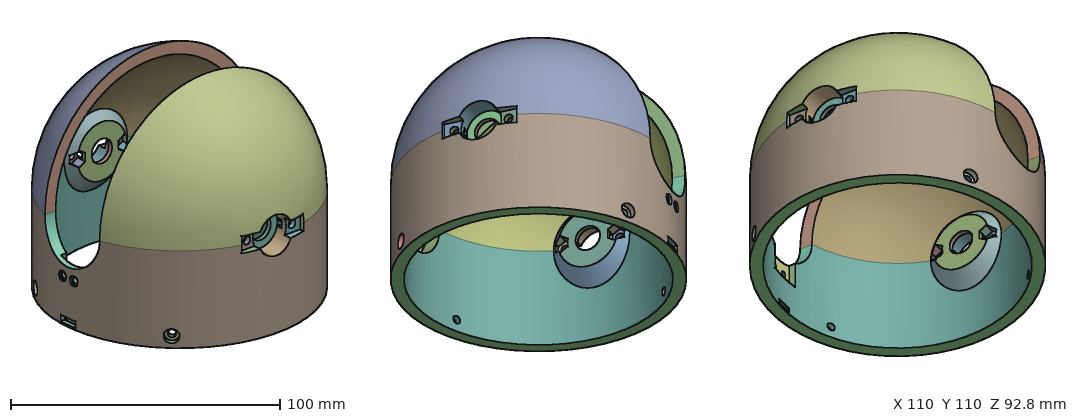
import cadquery as cq
import math

outer_radius = 55.0
inner_radius = 50.0
equator_height = 40.0

slot_width = 31.0

pivot_angles = (0.0, 180.0)
pad_diameter = 24.0
pad_face_distance = 44.0
pivot_bore_diameter = 10.0
flange_diameter = 16.4
flange_seat_distance = 46.0
ear_length = 30.4
ear_height = 7.0
ear_seat_distance = 51.0
ear_hole_diameter = 3.4
ear_hole_offset = 11.1
nut_width = 5.9
nut_pocket_depth = 4.5

screw_height = 5.0
screw_hole_diameter = 3.2
screw_head_diameter = 5.9
screw_head_depth = 2.5
screw_angles = (62.0, 136.0, 242.0, 316.0)

front_angle = -90.0

lamp_height = 19.8
lamp_spacing = 6.4
lamp_hole_diameter = 2.4
lamp_head_diameter = 4.2
lamp_seat_distance = 54.0

pocket_width = 14.0
pocket_back_distance = 52.2
pocket_floor_height = 15.0

socket_centre_height = 2.0
socket_width = 7.0
socket_height = 1.7
socket_recess_centre_height = 2.25
socket_recess_width = 8.2
socket_recess_height = 2.7
socket_seat_distance = 53.0

inner_overrun = 5.0

clear_distance = outer_radius + 5.0


def domed_solid(radius):
    """Cylinder from the base to the equator, topped by a half sphere."""
    diagonal = radius * math.sqrt(0.5)
    profile = (
        cq.Workplane("YZ")
        .lineTo(radius, 0)
        .lineTo(radius, equator_height)
        .threePointArc((diagonal, equator_height + diagonal), (0, equator_height + radius))
        .close()
    )
    return profile.revolve(360, (0, 0, 0), (0, 1, 0))


def radial_plane(angle, distance, height):
    """Workplane facing outwards; its local x is tangential and its local y points up."""
    turn = math.radians(angle)
    outward = (math.cos(turn), math.sin(turn), 0)
    tangent = (-math.sin(turn), math.cos(turn), 0)
    origin = (distance * outward[0], distance * outward[1], height)
    return cq.Workplane(cq.Plane(origin=origin, xDir=tangent, normal=outward))


def radial_rod(angle, diameter, start, end, height, sideways=0.0):
    """Cylinder along an outward direction, between two distances from the axis."""
    plane = radial_plane(angle, start, height).center(sideways, 0)
    return plane.transformed(rotate=(0, 0, 90)).circle(diameter / 2).extrude(end - start)


def radial_block(angle, width, tall, start, end, height):
    """Rectangular bar along an outward direction, between two distances from the axis."""
    return radial_plane(angle, start, height).rect(width, tall).extrude(end - start)


def nut_prism(angle, start, end, height, sideways):
    """Hexagonal bar along an outward direction, with two upright flats."""
    corner_diameter = nut_width / math.cos(math.radians(30))
    plane = radial_plane(angle, start, height).center(sideways, 0).transformed(rotate=(0, 0, 90))
    return plane.polygon(6, corner_diameter).extrude(end - start)


def slot_cutter():
    length = 2 * clear_distance
    upper = cq.Workplane("XY").box(slot_width, length, length, centered=(True, True, False))
    bottom = cq.Workplane("XZ").circle(slot_width / 2).extrude(clear_distance, both=True)
    return upper.union(bottom).translate((0, 0, equator_height))


def pivot_pad(angle):
    """Cone that widens at 45 degrees from the pad face out to the wall."""
    pad_length = clear_distance - pad_face_distance
    face_radius = pad_diameter / 2
    plane = radial_plane(angle, pad_face_distance, equator_height).transformed(rotate=(0, 0, 90))
    return plane.circle(face_radius).workplane(offset=pad_length).circle(face_radius + pad_length).loft()


def shell_cavity():
    """Inside space of the shell, with the conical pivot pads left standing on its wall."""
    cavity = domed_solid(inner_radius)
    for angle in pivot_angles:
        cavity = cavity.cut(pivot_pad(angle))
    return cavity


def cut_pivot_seat(body, angle):
    body = body.cut(
        radial_block(angle, ear_length, ear_height, ear_seat_distance, clear_distance, equator_height)
    )
    body = body.cut(
        radial_rod(angle, flange_diameter, flange_seat_distance, clear_distance, equator_height)
    )
    bore_start = pad_face_distance - inner_overrun
    body = body.cut(
        radial_rod(angle, pivot_bore_diameter, bore_start, clear_distance, equator_height)
    )
    nut_end = pad_face_distance + nut_pocket_depth
    for side in (-1, 1):
        offset = side * ear_hole_offset
        body = body.cut(
            radial_rod(angle, ear_hole_diameter, bore_start, clear_distance, equator_height, offset)
        )
        body = body.cut(nut_prism(angle, bore_start, nut_end, equator_height, offset))
    return body


def cut_screw_hole(body, angle):
    through_start = inner_radius - inner_overrun
    head_start = outer_radius - screw_head_depth
    body = body.cut(
        radial_rod(angle, screw_hole_diameter, through_start, clear_distance, screw_height)
    )
    return body.cut(radial_rod(angle, screw_head_diameter, head_start, clear_distance, screw_height))


def cut_lamp_mount(body):
    pocket_start = inner_radius - inner_overrun
    pocket_height = equator_height - pocket_floor_height
    pocket_centre_height = pocket_floor_height + pocket_height / 2
    pocket = radial_block(
        front_angle, pocket_width, pocket_height, pocket_start, pocket_back_distance, pocket_centre_height
    )
    body = body.cut(pocket)
    for side in (-1, 1):
        offset = side * lamp_spacing / 2
        hole = radial_rod(
            front_angle, lamp_hole_diameter, pocket_start, clear_distance, lamp_height, offset
        )
        head = radial_rod(
            front_angle, lamp_head_diameter, lamp_seat_distance, clear_distance, lamp_height, offset
        )
        body = body.cut(hole).cut(head)
    return body


def cut_socket(body):
    through_start = inner_radius - inner_overrun
    opening = radial_block(
        front_angle, socket_width, socket_height, through_start, clear_distance, socket_centre_height
    )
    recess = radial_block(
        front_angle,
        socket_recess_width,
        socket_recess_height,
        socket_seat_distance,
        clear_distance,
        socket_recess_centre_height,
    )
    return body.cut(opening).cut(recess)


body = domed_solid(outer_radius).cut(shell_cavity())
body = body.cut(slot_cutter())
for pivot_angle in pivot_angles:
    body = cut_pivot_seat(body, pivot_angle)
for screw_angle in screw_angles:
    body = cut_screw_hole(body, screw_angle)
body = cut_lamp_mount(body)
body = cut_socket(body)

result = body